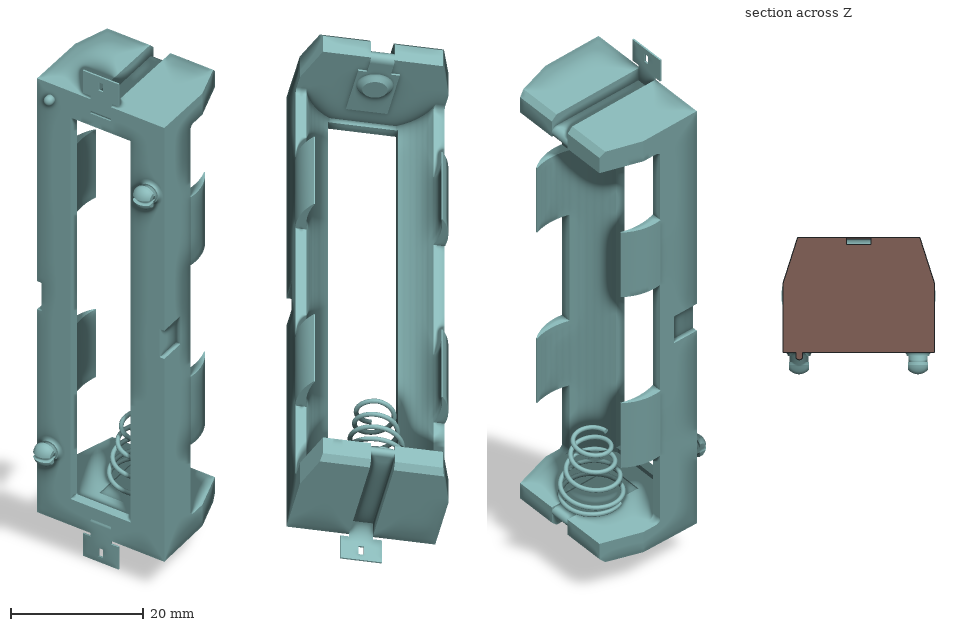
import cadquery as cq
import math

HOUSING_WIDTH = 22.9
HOUSING_LENGTH = 82.0
HOUSING_DEPTH = 17.4
END_DRAFT = 0.2
SIDE_DEPTH = 7.25
TAPER_START = 10.55
ARM_TIP_WIDTH = 18.5
ARM_TIP_CHAMFER = 0.9
BASE_THICKNESS = 1.6
CAVITY_LENGTH = 73.8
RAIL_FILLET = 0.8
WINDOW_WIDTH = 10.8
WINDOW_LENGTH = 72.1

CRADLE_CENTRE = 10.5
CRADLE_RADIUS = 10.3
CLIP_WIDTH = 23.3
CLIP_BACK_RADIUS = 8.5
CLIP_BACK_CENTRE = 8.5
CLIP_TOP = 13.7
CLIP_LENGTH = 12.8
CLIP_OFFSET = 17.0

NOTCH_LENGTH = 5.3
NOTCH_HEIGHT = 4.5
NOTCH_DEPTH = 0.8

POST_X = 9.0
POST_Z = 28.0
POST_REACH = 3.3
POST_NECK_DIAMETER = 2.9
POST_BASE_DIAMETER = 3.4
POST_BASE_HEIGHT = 0.55
POST_HEAD_DIAMETER = 3.85
POST_HEAD_WIDTH = 3.0
POST_HEAD_START = 1.5
POST_DOME_START = 1.9
POST_SLOT_WIDTH = 0.8
POST_SLOT_FLOOR = 0.8
PIN_DIAMETER = 1.6
PIN_STRAIGHT = 0.55
PIN_Z = 38.2

STRIP_THICKNESS = 0.3
STRIP_WIDTH = 3.7
STRIP_LEVEL = 38.35
PAD_WIDTH = 6.4
PAD_START = 4.6
PAD_END = 14.2
PAD_RECESS_DEPTH = 0.55
TAB_BEND = 0.55
TAB_TOP = 45.9
TAB_WIDTH = 6.4
TAB_LENGTH = 4.2
TAB_HOLE_WIDTH = 0.8
TAB_HOLE_LENGTH = 1.6
TAB_HOLE_INSET = 1.8
BUTTON_BASE_DIAMETER = 5.6
BUTTON_TIP_DIAMETER = 3.85
BUTTON_HEIGHT = 0.8
TERMINAL_AXIS = 11.1

WIRE_DIAMETER = 0.7
SPRING_TOP_RADIUS = 2.8
SPRING_BOTTOM_RADIUS = 4.8
SPRING_TOP = -25.6
CLOSED_TOP_TURNS = 0.5
OPEN_TURNS = 3.6
CONE_TURNS = 2.9
CONE_FLARE = 1.4
CLOSED_BOTTOM_TURNS = 0.7
STEPS_PER_TURN = 32

ARM_FACE = CAVITY_LENGTH / 2
POSITIVE_SEAT = ARM_FACE
NEGATIVE_SEAT = ARM_FACE + PAD_RECESS_DEPTH
ENDS = (1, -1)
SIDES = (1, -1)


def box(x_range, y_range, z_range):
    (x0, x1), (y0, y1), (z0, z1) = x_range, y_range, z_range
    return cq.Workplane("XY").box(x1 - x0, y1 - y0, z1 - z0, centered=False).translate((x0, y0, z0))


def centred_box(width, y_range, length):
    return x_centred_box(width, y_range, (-length / 2, length / 2))


def x_centred_box(width, y_range, z_range):
    return box((-width / 2, width / 2), y_range, z_range)


def to_lower_end(shape):
    return shape.mirror("XY")


def arm_profile():
    """Side outline (Y, Z) of the housing, which is drafted at both ends."""
    half = HOUSING_LENGTH / 2
    tip = half - END_DRAFT
    c = ARM_TIP_CHAMFER
    return (
        cq.Workplane("YZ")
        .polyline([
            (0, -half), (HOUSING_DEPTH - c, -tip), (HOUSING_DEPTH, c - tip),
            (HOUSING_DEPTH, tip - c), (HOUSING_DEPTH - c, tip), (0, half),
        ])
        .close()
        .extrude(HOUSING_WIDTH / 2, both=True)
    )


def end_outline():
    """Block with the end outline (X, Y) of the arms."""
    half = HOUSING_WIDTH / 2
    tip = ARM_TIP_WIDTH / 2
    return (
        cq.Workplane("XY")
        .polyline([
            (-half, 0), (half, 0), (half, TAPER_START), (tip, HOUSING_DEPTH),
            (-tip, HOUSING_DEPTH), (-half, TAPER_START),
        ])
        .close()
        .extrude(HOUSING_LENGTH / 2, both=True)
    )


def above_rails():
    """Space between the end arms, above the rails, rounded where the rails meet the arms."""
    return (
        centred_box(2 * HOUSING_WIDTH, (SIDE_DEPTH, 2 * HOUSING_DEPTH), CAVITY_LENGTH)
        .edges("|X and <Y")
        .fillet(RAIL_FILLET)
    )


def cradle():
    """Round channel for the battery, flat at the base."""
    channel = cylinder_z(CRADLE_RADIUS, CAVITY_LENGTH)
    return channel.intersect(centred_box(HOUSING_WIDTH, (BASE_THICKNESS, HOUSING_DEPTH), CAVITY_LENGTH))


def cylinder_z(radius, length, x=0.0, y=CRADLE_CENTRE):
    return cq.Workplane("XY").center(x, y).circle(radius).extrude(length / 2, both=True)


def clip(side):
    """Curved finger that holds the battery, thinning towards its tip."""
    back_x = side * (CLIP_WIDTH / 2 - CLIP_BACK_RADIUS)
    back = cylinder_z(CLIP_BACK_RADIUS, CLIP_LENGTH, back_x, CLIP_BACK_CENTRE)
    x_range = sorted((0, side * CLIP_WIDTH))
    span = box(x_range, (SIDE_DEPTH, CLIP_TOP), (-CLIP_LENGTH / 2, CLIP_LENGTH / 2))
    return back.cut(cylinder_z(CRADLE_RADIUS, CLIP_LENGTH)).intersect(span)


def post():
    """Split snap-in post along -Y with flats on both sides, rooted on the origin."""
    base = POST_BASE_DIAMETER / 2
    neck = POST_NECK_DIAMETER / 2
    head = POST_HEAD_DIAMETER / 2
    tip = POST_SLOT_WIDTH / 2
    dome_height = POST_REACH - POST_DOME_START
    dome_below_centre = (head**2 - tip**2 - dome_height**2) / (2 * dome_height)
    dome_radius = math.hypot(head, dome_below_centre)
    solid = (
        cq.Workplane("XY")
        .lineTo(base + POST_BASE_HEIGHT, 0)
        .radiusArc((base, -POST_BASE_HEIGHT), -POST_BASE_HEIGHT)
        .lineTo(neck, -POST_BASE_HEIGHT)
        .lineTo(neck, -POST_HEAD_START)
        .lineTo(head, -POST_HEAD_START)
        .lineTo(head, -POST_DOME_START)
        .radiusArc((tip, -POST_REACH), dome_radius)
        .lineTo(0, -POST_REACH)
        .close()
        .revolve(360, (0, 0), (0, 1))
    )
    flats = centred_box(POST_HEAD_WIDTH, (-POST_REACH, -POST_HEAD_START), POST_HEAD_DIAMETER)
    root = centred_box(POST_HEAD_DIAMETER * 2, (-POST_HEAD_START, 0), POST_HEAD_DIAMETER * 2)
    slot = centred_box(POST_HEAD_DIAMETER, (-POST_REACH, -POST_SLOT_FLOOR), POST_SLOT_WIDTH)
    return solid.intersect(flats.union(root)).cut(slot)


def locating_pin():
    radius = PIN_DIAMETER / 2
    return (
        cq.Workplane("XY")
        .lineTo(radius, 0)
        .lineTo(radius, -PIN_STRAIGHT)
        .radiusArc((0, -PIN_STRAIGHT - radius), radius)
        .close()
        .revolve(360, (0, 0), (0, 1))
        .translate((-POST_X, 0, PIN_Z))
    )


def strip(seat):
    """Ribbon bent from a tab leg, through the groove and round the arm's tip, to a leg on the seat."""
    t = STRIP_THICKNESS
    outer = STRIP_LEVEL + t
    face = seat - t
    turn = (outer - face) / 2
    turn_start = HOUSING_DEPTH - turn
    middle = face + turn
    corner = TAB_BEND * (1 - math.sqrt(0.5))
    return (
        cq.Workplane("YZ")
        .moveTo(0, TAB_TOP)
        .lineTo(0, STRIP_LEVEL + TAB_BEND)
        .threePointArc((corner, STRIP_LEVEL + corner), (TAB_BEND, STRIP_LEVEL))
        .lineTo(turn_start, STRIP_LEVEL)
        .threePointArc((HOUSING_DEPTH - t, middle), (turn_start, seat))
        .lineTo(PAD_START, seat)
        .lineTo(PAD_START, face)
        .lineTo(turn_start, face)
        .threePointArc((HOUSING_DEPTH, middle), (turn_start, outer))
        .lineTo(t, outer)
        .lineTo(t, TAB_TOP)
        .close()
        .extrude(STRIP_WIDTH / 2, both=True)
    )


def contact(seat):
    """Strip with a wide solder tab at the upper end and a wide pad lying on the seat."""
    tab = x_centred_box(TAB_WIDTH, (0, STRIP_THICKNESS), (TAB_TOP - TAB_LENGTH, TAB_TOP))
    hole = centred_box(TAB_HOLE_WIDTH, (0, STRIP_THICKNESS), TAB_HOLE_LENGTH)
    pad = x_centred_box(PAD_WIDTH, (PAD_START, PAD_END), (seat - STRIP_THICKNESS, seat))
    return strip(seat).union(tab).union(pad).cut(hole.translate((0, 0, TAB_TOP - TAB_HOLE_INSET)))


def button():
    """Cone-shaped bump on the pad."""
    return (
        cq.Workplane("XY", origin=(0, TERMINAL_AXIS, ARM_FACE - STRIP_THICKNESS))
        .circle(BUTTON_BASE_DIAMETER / 2)
        .workplane(offset=-BUTTON_HEIGHT)
        .circle(BUTTON_TIP_DIAMETER / 2)
        .loft(ruled=True)
    )


def contact_recess(seat):
    """Room for a contact: groove in the outer face, gap at the tip and recess in the inner face."""
    turn_start = HOUSING_DEPTH - (STRIP_LEVEL + 2 * STRIP_THICKNESS - seat) / 2
    groove = x_centred_box(STRIP_WIDTH, (0, HOUSING_DEPTH), (STRIP_LEVEL, TAB_TOP))
    tip_gap = x_centred_box(STRIP_WIDTH, (turn_start, HOUSING_DEPTH), (0, TAB_TOP))
    strip_recess = x_centred_box(STRIP_WIDTH, (PAD_START, HOUSING_DEPTH), (0, seat))
    pad_recess = x_centred_box(PAD_WIDTH, (PAD_START, PAD_END), (0, seat))
    return groove.union(tip_gap).union(strip_recess).union(pad_recess)


def housing():
    body = arm_profile().intersect(end_outline()).cut(above_rails()).cut(cradle())
    body = body.cut(centred_box(WINDOW_WIDTH, (0, HOUSING_DEPTH), WINDOW_LENGTH))
    for end in ENDS:
        for side in SIDES:
            body = body.union(clip(side).translate((0, 0, end * CLIP_OFFSET)))
        body = body.union(post().translate((end * POST_X, 0, end * POST_Z)))
        notch = centred_box(2 * NOTCH_DEPTH, (0, NOTCH_HEIGHT), NOTCH_LENGTH)
        body = body.cut(notch.translate((end * HOUSING_WIDTH / 2, 0, 0)))
    body = body.cut(contact_recess(POSITIVE_SEAT)).cut(to_lower_end(contact_recess(NEGATIVE_SEAT)))
    return body.union(locating_pin())


def spring_point(turn):
    """Wire centre after this many turns down from the free end at the front."""
    bottom = -ARM_FACE + WIRE_DIAMETER / 2
    top_pitch = WIRE_DIAMETER
    open_top = SPRING_TOP - CLOSED_TOP_TURNS * top_pitch
    opened = max(turn - CLOSED_TOP_TURNS, 0)
    drop = min(opened / OPEN_TURNS, 1)
    spread = min(opened / CONE_TURNS, 1) ** CONE_FLARE
    radius = SPRING_TOP_RADIUS + spread * (SPRING_BOTTOM_RADIUS - SPRING_TOP_RADIUS)
    z = SPRING_TOP - min(turn, CLOSED_TOP_TURNS) * top_pitch + drop * (bottom - open_top)
    angle = 2 * math.pi * turn - math.pi / 2
    return (radius * math.cos(angle), TERMINAL_AXIS + radius * math.sin(angle), z)


def spring():
    turns = CLOSED_TOP_TURNS + OPEN_TURNS + CLOSED_BOTTOM_TURNS
    steps = round(turns * STEPS_PER_TURN)
    points = [cq.Vector(spring_point(i / STEPS_PER_TURN)) for i in range(steps + 1)]
    path = cq.Edge.makeSpline(points)
    start = cq.Plane(origin=points[0], normal=path.tangentAt(0))
    return cq.Workplane(start).circle(WIRE_DIAMETER / 2).sweep(cq.Workplane(path), isFrenet=True)


frame = housing()
positive_contact = contact(POSITIVE_SEAT).union(button())
negative_contact = to_lower_end(contact(NEGATIVE_SEAT))
coil_spring = spring()

result = cq.Compound.makeCompound([
    frame.val(),
    positive_contact.val(),
    negative_contact.val(),
    coil_spring.val(),
])